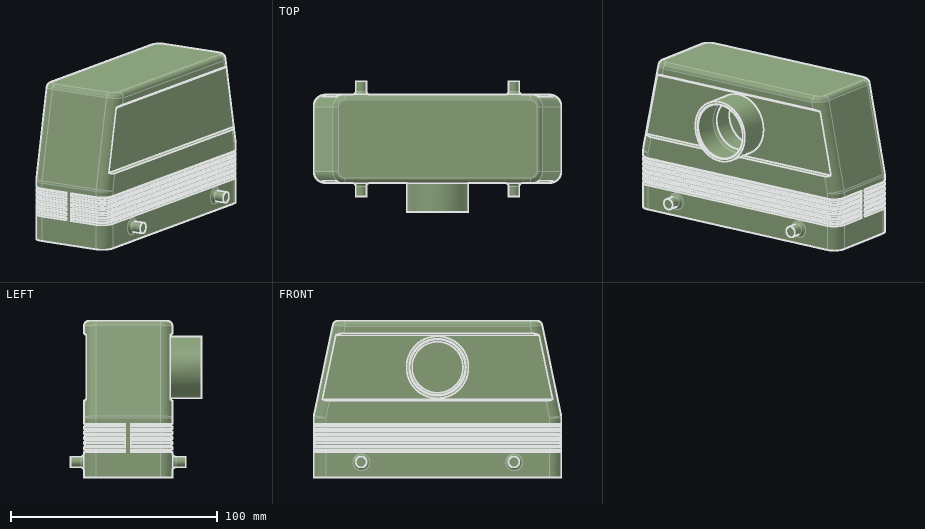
import cadquery as cq
import math

length = 120.0
width = 43.0
height = 76.0
slope_start = 29.5
top_half_length = 50.3
corner_radius = 5.9
top_edge_radius = 2.6
slope_blend_radius = 5.0

recess_bottom = 37.9
recess_top = 69.0
recess_depth = 1.1
recess_wall_rise = 0.8

groove_count = 6
groove_bottom = 12.2
groove_top = 26.2
groove_width = 1.5
groove_pitch = (groove_top - groove_bottom - groove_width) / (groove_count - 1)
groove_depth = 0.7
end_rib_width = 2.6

pin_spacing = 73.9
pin_height = 7.5
pin_radius = 2.6
pin_tip = 28.0
pin_root_radius = 1.5

collar_height = 53.4
collar_tip = 35.5
collar_radius = 15.0
rim_chamfer = 0.4
bore_radius = 13.5
bore_depth = 12.2
seat_radius = 1.8
inner_bore_radius = 12.4
inner_bore_depth = 24.0


def rounded_block(z, extent, taper=0.0, inset=0.0):
    """Vertical block on the base outline, moved inwards by an inset."""
    outline = cq.Sketch().rect(length - 2 * inset, width - 2 * inset)
    outline = outline.vertices().fillet(corner_radius - inset)
    return cq.Workplane("XY", origin=(0, 0, z)).placeSketch(outline).extrude(extent, taper=taper)


def hood_body():
    half = length / 2
    body = (
        cq.Workplane("XZ")
        .moveTo(-half, 0)
        .lineTo(half, 0)
        .lineTo(half, slope_start)
        .lineTo(top_half_length, height)
        .lineTo(-top_half_length, height)
        .lineTo(-half, slope_start)
        .close()
        .extrude(width / 2, both=True)
    )
    bend_region = cq.selectors.BoxSelector((-length, -width, height / 4), (length, width, height * 3 / 4))
    body = body.edges("|Y").edges(bend_region).fillet(slope_blend_radius)
    body = body.faces("<Y or >Y").edges("not(<Z or >Z)").fillet(corner_radius)
    return body.faces(">Z").edges().fillet(top_edge_radius)


def recess_cutter(side):
    """Slot with slanted walls along X; side is -1 for the front, +1 for the back."""
    face = side * width / 2
    floor = face - side * recess_depth
    return (
        cq.Workplane("YZ")
        .moveTo(face, recess_bottom - recess_wall_rise)
        .lineTo(floor, recess_bottom)
        .lineTo(floor, recess_top)
        .lineTo(face, recess_top + recess_wall_rise)
        .close()
        .extrude(length / 2, both=True)
    )


def groove_cutter(z):
    """V-shaped ring around the base, interrupted by the rib on each end wall."""
    half = groove_width / 2
    flank_angle = math.degrees(math.atan(groove_depth / half))
    lower_core = rounded_block(z, half, flank_angle)
    upper_core = rounded_block(z + half, half, -flank_angle, groove_depth)
    rib = cq.Workplane("XY", origin=(0, 0, z)).box(
        length, end_rib_width, groove_width, centered=(True, True, False)
    )
    ring = rounded_block(z, groove_width)
    return ring.cut(lower_core).cut(upper_core).cut(rib)


def locking_pin(x, side):
    """Pin with a concave root, revolved about its own axis along Y."""
    face = side * width / 2
    tip = side * pin_tip
    shoulder = face + side * pin_root_radius
    root_bulge = pin_root_radius * (1 - math.sqrt(0.5))
    return (
        cq.Workplane("XY", origin=(x, 0, pin_height))
        .lineTo(pin_radius + pin_root_radius, 0)
        .lineTo(pin_radius + pin_root_radius, face)
        .threePointArc((pin_radius + root_bulge, face + side * root_bulge), (pin_radius, shoulder))
        .lineTo(pin_radius, tip)
        .lineTo(0, tip)
        .close()
        .revolve(360, (0, 0, 0), (0, 1, 0))
    )


def entry_collar():
    axis = cq.Workplane("XZ", origin=(0, -collar_tip, collar_height))
    return axis.circle(collar_radius).extrude(-collar_tip)


def entry_bore():
    """Stepped blind bore: chamfered mouth, hollow rounded seat, narrower inner bore."""
    seat_start = bore_depth - collar_tip
    seat_centre = bore_radius - seat_radius
    seat_angle = math.acos((inner_bore_radius - seat_centre) / seat_radius)

    def seat_point(angle):
        radial = seat_centre + seat_radius * math.cos(angle)
        return (radial, seat_start + seat_radius * math.sin(angle))

    return (
        cq.Workplane("XY", origin=(0, 0, collar_height))
        .moveTo(0, -collar_tip)
        .lineTo(bore_radius + rim_chamfer, -collar_tip)
        .lineTo(bore_radius, rim_chamfer - collar_tip)
        .lineTo(bore_radius, seat_start)
        .threePointArc(seat_point(seat_angle / 2), seat_point(seat_angle))
        .lineTo(inner_bore_radius, inner_bore_depth - collar_tip)
        .lineTo(0, inner_bore_depth - collar_tip)
        .close()
        .revolve(360, (0, 0, 0), (0, 1, 0))
    )


result = hood_body()
for side in (-1, 1):
    result = result.cut(recess_cutter(side))
for index in range(groove_count):
    result = result.cut(groove_cutter(groove_bottom + index * groove_pitch))
for side in (-1, 1):
    for x in (-pin_spacing / 2, pin_spacing / 2):
        result = result.union(locking_pin(x, side))
result = result.union(entry_collar()).cut(entry_bore())